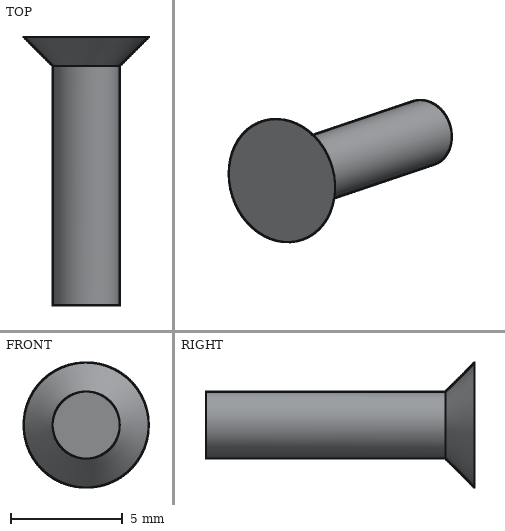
import cadquery as cq

total_length = 12.0
shank_diameter = 3.0
head_diameter = 5.6

shank_radius = shank_diameter / 2
head_radius = head_diameter / 2
head_height = head_radius - shank_radius
shank_length = total_length - head_height

profile = (
    cq.Workplane("XY")
    .moveTo(0, 0)
    .lineTo(shank_radius, 0)
    .lineTo(shank_radius, shank_length)
    .lineTo(head_radius, total_length)
    .lineTo(0, total_length)
    .close()
)

result = profile.revolve(360, (0, 0, 0), (0, 1, 0))